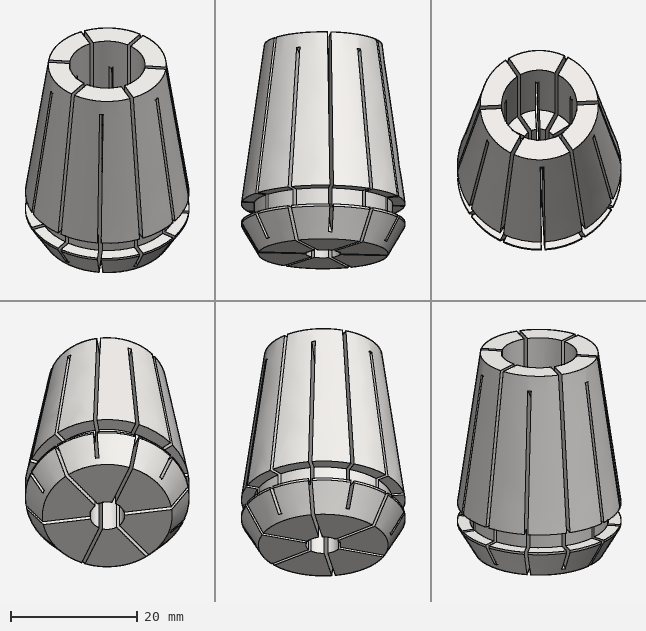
import cadquery as cq
import math

height = 34.0
body_diameter = 26.0
body_radius = body_diameter / 2
groove_radius = 11.0

nose_top = 4.7
land_top = 5.05
groove_top = 8.13

nose_angle = math.radians(30)
body_angle = math.radians(8)
nose_radius = body_radius - nose_top * math.tan(nose_angle)
top_radius = body_radius - (height - groove_top) * math.tan(body_angle)

bore_radius = 2.75
relief_radius = 6.0
bore_length = height / 2

slots_per_set = 6
slot_pitch = 360 / slots_per_set
slot_width = 0.58
blade_radius = 20.0
top_cut_center = (20.6, 18.5)
bottom_cut_center = (20.3, 14.62)
clearance = 1.7


def make_body():
    """Revolve the half section of the unslotted collet about Z."""
    half_section = [
        (bore_radius, 0),
        (nose_radius, 0),
        (body_radius, nose_top),
        (body_radius, land_top),
        (groove_radius, land_top),
        (groove_radius, groove_top),
        (body_radius, groove_top),
        (top_radius, height),
        (relief_radius, height),
        (relief_radius, bore_length),
        (bore_radius, bore_length),
    ]
    return cq.Workplane("XZ").polyline(half_section).close().revolve(360, (0, 0, 0), (0, 1, 0))


def make_slot(cut_center, open_end, direction, angle):
    """Radial slot from the blade arc to open_end; direction is +1 if open upward, -1 if downward."""
    center_r, center_z = cut_center
    inner_r = center_r - blade_radius
    arc_offset = blade_radius * math.sqrt(0.5)
    slot = (
        cq.Workplane("XZ")
        .moveTo(inner_r, center_z)
        .threePointArc(
            (center_r - arc_offset, center_z - direction * arc_offset),
            (center_r, center_z - direction * blade_radius),
        )
        .lineTo(center_r, open_end)
        .lineTo(inner_r, open_end)
        .close()
        .extrude(slot_width / 2, both=True)
    )
    return slot.rotate((0, 0, 0), (0, 0, 1), angle)


result = make_body()
for index in range(slots_per_set):
    top_slot_angle = index * slot_pitch
    bottom_slot_angle = top_slot_angle + slot_pitch / 2
    result = result.cut(make_slot(top_cut_center, height + clearance, 1, top_slot_angle))
    result = result.cut(make_slot(bottom_cut_center, -clearance, -1, bottom_slot_angle))